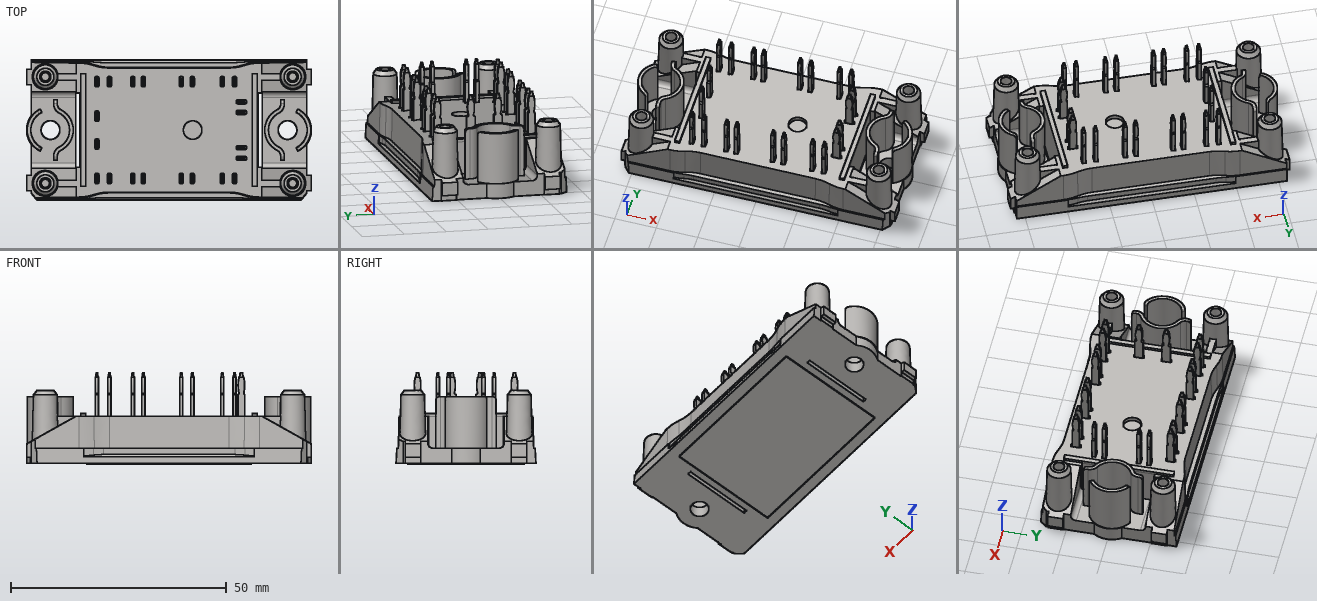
import cadquery as cq
import math

total_height = 21.25
baseplate_height = 0.25
flange_top = 3.75
housing_top = 11.2

overall_length = 66.0
body_length = 63.9
flange_bottom_width = 32.5
flange_top_width = 32.1
housing_width = 31.4
waist_width = 29.1
housing_draft = 1.5
waist_outer_x = 20.85
waist_inner_x = 13.85
baseplate_size = (38.0, 27.05)
corner_chamfer_x = 1.4
corner_chamfer_y = 1.65

shoulder_start_x = 21.45
shoulder_end_height = 5.35
bay_width = 17.7
bay_fillet = 1.25
slot_width = 17.15
slot_outer_x = 21.6
slot_bottom_inner_x = 20.7
slot_top_inner_x = 20.45
rib_width = 1.5

recess_half_length = 19.8
recess_inner_x = 15.2
recess_end_width = 31.8
recess_waist_width = 31.3
recess_edge_height = 1.65
recess_floor_height = 2.3

tab_y = 12.3
tab_width = 3.6
tab_bottom = 1.7
tab_foot_projection = 0.2

pillar_x = 28.65
pillar_y = 12.35
pillar_base_diameter = 6.15
pillar_shoulder_diameter = 5.55
pillar_tip_diameter = 3.95
pillar_shoulder_height = 16.1
pillar_top = 17.15
pillar_hole_top_diameter = 2.6
pillar_hole_bottom_diameter = 1.9
pillar_hole_depth = 5.3

screw_x = 27.45
screw_hole_diameter = 4.3
boss_radius = overall_length / 2 - screw_x
outer_guard_radius = 5.4
inner_guard_radius = 5.3
collar_wall = 0.85
collar_top = 15.7
collar_corner = 0.8
guard_half_angle = 64.0
tail_offset = 1.2
tail_end_y = 7.0
bend_center_y = 5.95

bar_size = (1.2, 26.0, 0.6)
dimple_x = 5.5
dimple_diameter = 4.3
dimple_depth = 1.0

pin_thickness = 0.8
pin_width = 1.65
wide_pin_width = 2.0
pin_shoulder = 16.1
pin_waist_height = 16.45
pin_waist_width = 1.1
pin_bulge_width = 1.6
pin_neck_height = 20.2
pin_tip_root_width = 0.9
pin_tip_width = 0.5
pin_tip_root_thickness = 0.6
pin_tip_thickness = 0.3
pin_opening = (2.45, 1.0)
pin_opening_depth = 0.3
side_row_x = (-16.7, -13.8, -8.4, -5.95, 2.85, 5.4, 12.35, 15.2)
side_row_y = 11.2
left_row_x = -16.7
left_row_y = (-3.25, 3.25)
right_row_x = 16.75
right_row_y = (-6.55, -4.1, 4.1, 6.55)

half_body = body_length / 2
shoulder_slope = (housing_top - shoulder_end_height) / (half_body - shoulder_start_x)


def block(x_range, y_range, z_range):
    """Axis-aligned box given by its limits."""
    (x0, x1), (y0, y1), (z0, z1) = x_range, y_range, z_range
    return cq.Workplane("XY").box(x1 - x0, y1 - y0, z1 - z0, centered=False).translate((x0, y0, z0))


def both_ends(solid):
    """The solid and its mirror copy at the other end of the part."""
    return solid.union(solid.mirror("YZ"))


def four_corners(solid):
    """The solid and its mirror copies at the other three corners."""
    return both_ends(solid.union(solid.mirror("XZ")))


def waisted_outline(plane, half_length, end_width, middle_width, outer_x, inner_x):
    """Long outline whose sides step inwards along two S-bends."""
    end_y = end_width / 2
    middle_y = middle_width / 2
    bend = ((outer_x + inner_x) / 2, (end_y + middle_y) / 2)
    return (
        plane.moveTo(-half_length, 0)
        .lineTo(-half_length, end_y)
        .lineTo(-outer_x, end_y)
        .tangentArcPoint((-bend[0], bend[1]), relative=False)
        .tangentArcPoint((-inner_x, middle_y), relative=False)
        .lineTo(inner_x, middle_y)
        .tangentArcPoint(bend, relative=False)
        .tangentArcPoint((outer_x, end_y), relative=False)
        .lineTo(half_length, end_y)
        .lineTo(half_length, 0)
        .mirrorX()
    )


def flange():
    """Drafted lower slab with a shallow recess along each long side."""
    half_bottom = flange_bottom_width / 2
    half_top = flange_top_width / 2
    slab = (
        cq.Workplane("YZ", origin=(-half_body, 0, 0))
        .moveTo(-half_bottom, baseplate_height)
        .lineTo(half_bottom, baseplate_height)
        .lineTo(half_top, flange_top)
        .lineTo(-half_top, flange_top)
        .close()
        .extrude(body_length)
    )
    recess = (
        cq.Workplane("YZ", origin=(-recess_half_length, 0, 0))
        .moveTo(half_bottom, recess_edge_height)
        .lineTo(half_bottom, flange_top)
        .lineTo(recess_waist_width / 2, flange_top)
        .lineTo(recess_waist_width / 2, recess_floor_height)
        .close()
        .extrude(2 * recess_half_length)
    )
    core = waisted_outline(
        cq.Workplane("XY"), half_body, recess_end_width, recess_waist_width,
        recess_half_length, recess_inner_x,
    ).extrude(flange_top)
    recess = recess.cut(core)
    return slab.cut(recess).cut(recess.mirror("XZ"))


def housing():
    """Waisted upper block, drafted on its long sides, with a sloping shoulder at each end."""
    block_outline = waisted_outline(
        cq.Workplane("XY", origin=(0, 0, flange_top)), overall_length / 2, housing_width, waist_width,
        waist_outer_x, waist_inner_x,
    )
    solid = block_outline.extrude(housing_top - flange_top, taper=housing_draft)
    side_profile = (
        cq.Workplane("XZ", origin=(0, housing_width, 0))
        .moveTo(-half_body, flange_top)
        .lineTo(-half_body, shoulder_end_height)
        .lineTo(-shoulder_start_x, housing_top)
        .lineTo(shoulder_start_x, housing_top)
        .lineTo(half_body, shoulder_end_height)
        .lineTo(half_body, flange_top)
        .close()
        .extrude(2 * housing_width)
    )
    return solid.intersect(side_profile)


def end_bay():
    """Cavity around the left screw boss with rounded floor edges, and the drafted slot behind it."""
    bay = block(
        (-half_body, -slot_outer_x),
        (-bay_width / 2, bay_width / 2),
        (flange_top, housing_top),
    )
    bay = bay.edges("|X and <Z").fillet(bay_fillet)
    slot = (
        cq.Workplane("XZ", origin=(0, slot_width / 2, 0))
        .moveTo(-slot_outer_x, 0)
        .lineTo(-slot_bottom_inner_x, 0)
        .lineTo(-slot_top_inner_x, housing_top)
        .lineTo(-slot_outer_x, housing_top)
        .close()
        .extrude(slot_width)
    )
    return bay.union(slot)


def corner_cut():
    """Prism that bevels the left corner of the near long side."""
    corner_y = -flange_bottom_width / 2
    return (
        cq.Workplane("XY")
        .moveTo(-half_body, corner_y)
        .lineTo(-half_body, corner_y + corner_chamfer_y)
        .lineTo(-half_body + corner_chamfer_x, corner_y)
        .close()
        .extrude(housing_top)
    )


def snap_tab():
    """Tab on the left end face; its top continues the shoulder slope."""
    outer_x = -overall_length / 2
    foot_x = -half_body - tab_foot_projection
    top_at_outer = shoulder_end_height - shoulder_slope * (-outer_x - half_body)
    return (
        cq.Workplane("XZ", origin=(0, tab_y + tab_width / 2, 0))
        .moveTo(-half_body, baseplate_height)
        .lineTo(foot_x, baseplate_height)
        .lineTo(foot_x, tab_bottom)
        .lineTo(outer_x, tab_bottom)
        .lineTo(outer_x, top_at_outer)
        .lineTo(-half_body, shoulder_end_height)
        .close()
        .extrude(tab_width)
    )


def pillar():
    """Tapered post with a coned tip, and the rib that ties it to the housing."""
    post = (
        cq.Workplane("XZ")
        .moveTo(0, flange_top)
        .lineTo(pillar_base_diameter / 2, flange_top)
        .lineTo(pillar_shoulder_diameter / 2, pillar_shoulder_height)
        .lineTo(pillar_tip_diameter / 2, pillar_top)
        .lineTo(0, pillar_top)
        .close()
        .revolve(360, (0, 0, 0), (0, 1, 0))
        .translate((-pillar_x, pillar_y, 0))
    )
    rib = block(
        (-pillar_x, -shoulder_start_x),
        (pillar_y - rib_width / 2, pillar_y + rib_width / 2),
        (flange_top, housing_top),
    )
    return post.union(rib)


def pillar_hole():
    """Tapered blind hole in the top of a pillar."""
    return (
        cq.Workplane("XY", origin=(-pillar_x, pillar_y, pillar_top))
        .circle(pillar_hole_top_diameter / 2)
        .workplane(offset=-pillar_hole_depth)
        .circle(pillar_hole_bottom_diameter / 2)
        .loft()
    )


def round_wall_ends(wall):
    """Round the top corner at each free end of a collar wall."""
    for end in (">Y", "<Y"):
        wall = wall.faces(end).edges(">Z").fillet(collar_corner)
    return wall


def polar(radius, angle):
    return (radius * math.cos(math.radians(angle)), radius * math.sin(math.radians(angle)))


def outer_guard():
    """Arc-shaped collar wall on the open side of the left screw hole."""
    inner_radius = outer_guard_radius - collar_wall
    start = 180 - guard_half_angle
    end = 180 + guard_half_angle
    wall = (
        cq.Workplane("XY", origin=(-screw_x, 0, flange_top))
        .moveTo(*polar(outer_guard_radius, start))
        .threePointArc((-outer_guard_radius, 0), polar(outer_guard_radius, end))
        .lineTo(*polar(inner_radius, end))
        .threePointArc((-inner_radius, 0), polar(inner_radius, start))
        .close()
        .extrude(collar_top - flange_top)
    )
    return round_wall_ends(wall)


def inner_guard():
    """Omega-shaped collar wall on the housing side: an arc that bends back into two straight tails."""
    arc_radius = inner_guard_radius - collar_wall / 2
    bend_radius = (tail_offset**2 + bend_center_y**2 - arc_radius**2) / (2 * (arc_radius - tail_offset))
    bend_x = tail_offset + bend_radius
    touch_angle = math.degrees(math.atan2(bend_center_y, bend_x))
    bend_middle_angle = 180 + touch_angle / 2

    def area_inside(side):
        """Area bounded by one face of the wall: 1 for the housing side, -1 for the screw side."""
        radius = arc_radius + side * collar_wall / 2
        bend = bend_radius - side * collar_wall / 2
        tail_x = bend_x - bend
        touch_x, touch_y = polar(radius, touch_angle)
        mid_x, mid_y = polar(bend, bend_middle_angle)
        return (
            cq.Workplane("XY", origin=(-screw_x, 0, flange_top))
            .moveTo(0, -tail_end_y)
            .lineTo(tail_x, -tail_end_y)
            .lineTo(tail_x, -bend_center_y)
            .threePointArc((bend_x + mid_x, -bend_center_y - mid_y), (touch_x, -touch_y))
            .threePointArc((radius, 0), (touch_x, touch_y))
            .threePointArc((bend_x + mid_x, bend_center_y + mid_y), (tail_x, bend_center_y))
            .lineTo(tail_x, tail_end_y)
            .lineTo(0, tail_end_y)
            .close()
            .extrude(collar_top - flange_top)
        )

    return round_wall_ends(area_inside(1).cut(area_inside(-1)))


def screw_boss():
    """Half-round pad that carries the collar past the end face."""
    return (
        cq.Workplane("XY", origin=(-screw_x, 0, baseplate_height))
        .moveTo(0, boss_radius)
        .threePointArc((-boss_radius, 0), (0, -boss_radius))
        .close()
        .extrude(flange_top - baseplate_height)
    )


def pin(width):
    """Press-fit pin with its broad face along Y, standing on the floor of its opening."""
    foot = housing_top - pin_opening_depth
    bulge_height = (pin_waist_height + pin_neck_height) / 2
    broad_face = (
        cq.Workplane("YZ", origin=(-pin_thickness / 2, 0, 0))
        .moveTo(0, foot)
        .lineTo(width / 2, foot)
        .lineTo(width / 2, pin_shoulder)
        .lineTo(pin_waist_width / 2, pin_waist_height)
        .threePointArc((pin_bulge_width / 2, bulge_height), (pin_waist_width / 2, pin_neck_height))
        .lineTo(pin_tip_root_width / 2, pin_neck_height)
        .lineTo(pin_tip_width / 2, total_height)
        .lineTo(0, total_height)
        .mirrorY()
        .extrude(pin_thickness)
    )
    edge_face = (
        cq.Workplane("XZ", origin=(0, width / 2, 0))
        .moveTo(0, foot)
        .lineTo(pin_thickness / 2, foot)
        .lineTo(pin_thickness / 2, pin_neck_height)
        .lineTo(pin_tip_root_thickness / 2, pin_neck_height)
        .lineTo(pin_tip_thickness / 2, total_height)
        .lineTo(0, total_height)
        .mirrorY()
        .extrude(width)
    )
    return broad_face.intersect(edge_face)


def pin_openings(points, angle):
    """Round-ended openings in the housing top around the pins."""
    length, breadth = pin_opening
    return (
        cq.Workplane("XY", origin=(0, 0, housing_top - pin_opening_depth))
        .pushPoints(points)
        .slot2D(length, breadth, angle)
        .extrude(pin_opening_depth)
    )


body = flange().union(housing())
body = body.cut(both_ends(corner_cut()))
body = body.cut(both_ends(end_bay()))
baseplate = cq.Workplane("XY").rect(*baseplate_size).extrude(baseplate_height)
body = body.union(baseplate)
body = body.union(four_corners(pillar().union(snap_tab())))
body = body.cut(four_corners(pillar_hole()))

body = body.union(both_ends(screw_boss().union(outer_guard()).union(inner_guard())))
screw_hole = cq.Workplane("XY", origin=(-screw_x, 0, 0)).circle(screw_hole_diameter / 2).extrude(flange_top)
body = body.cut(both_ends(screw_hole))

bar = cq.Workplane("XY").box(*bar_size, centered=(False, True, False))
body = body.union(both_ends(bar.translate((-slot_top_inner_x, 0, housing_top))))
dimple = cq.Workplane("XY", origin=(dimple_x, 0, housing_top - dimple_depth))
body = body.cut(dimple.circle(dimple_diameter / 2).extrude(dimple_depth))

side_points = [(x, y) for x in side_row_x for y in (-side_row_y, side_row_y)]
left_points = [(left_row_x, y) for y in left_row_y]
right_points = [(right_row_x, y) for y in right_row_y]
pin_groups = (
    (side_points, pin_width, 90),
    (left_points, wide_pin_width, 90),
    (right_points, pin_width, 0),
)
for points, width, angle in pin_groups:
    body = body.cut(pin_openings(points, angle))
    upright = pin(width).rotate((0, 0, 0), (0, 0, 1), angle - 90)
    for x, y in points:
        body = body.union(upright.translate((x, y, 0)))

result = body